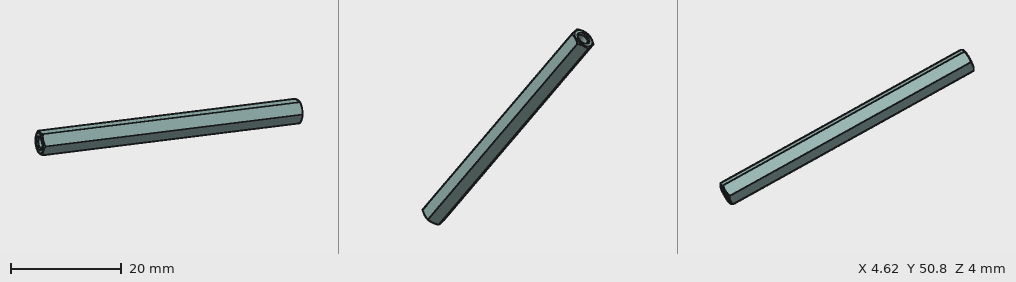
import cadquery as cq
import math

length = 50.8
across_flats = 4.0
across_corners = across_flats / math.cos(math.radians(30))

end_face_diameter = 3.8
end_chamfer_angle = 30.0

hole_diameter = 2.1
hole_depth = 10.15
drill_tip_angle = 118.0
mouth_diameter = 2.6


def revolve_about_y(points):
    """Revolve a closed (radius, y) outline about the Y axis."""
    return cq.Workplane("XY").polyline(points).close().revolve(360, (0, 0, 0), (0, 1, 0))


def hex_bar():
    return cq.Workplane("XZ").polygon(6, across_corners).extrude(length / 2, both=True)


def chamfer_envelope():
    """Cylinder around the hexagon with conical ends."""
    corner_radius = across_corners / 2
    face_radius = end_face_diameter / 2
    chamfer_height = (corner_radius - face_radius) * math.tan(math.radians(end_chamfer_angle))
    clearance = 0.5
    outer_radius = corner_radius + clearance
    outer_height = chamfer_height * (outer_radius - face_radius) / (corner_radius - face_radius)
    end = length / 2
    return revolve_about_y([
        (0, -end),
        (face_radius, -end),
        (outer_radius, -end + outer_height),
        (outer_radius, end - outer_height),
        (face_radius, end),
        (0, end),
    ])


def blind_hole():
    """Countersunk blind hole with a drill-point bottom, in the -Y end."""
    radius = hole_diameter / 2
    mouth_radius = mouth_diameter / 2
    countersink_depth = mouth_radius - radius
    tip_height = radius / math.tan(math.radians(drill_tip_angle / 2))
    end = -length / 2
    return revolve_about_y([
        (0, end),
        (mouth_radius, end),
        (radius, end + countersink_depth),
        (radius, end + hole_depth),
        (0, end + hole_depth + tip_height),
    ])


near_hole = blind_hole()
far_hole = near_hole.mirror("XZ")
result = hex_bar().intersect(chamfer_envelope()).cut(near_hole).cut(far_hole)